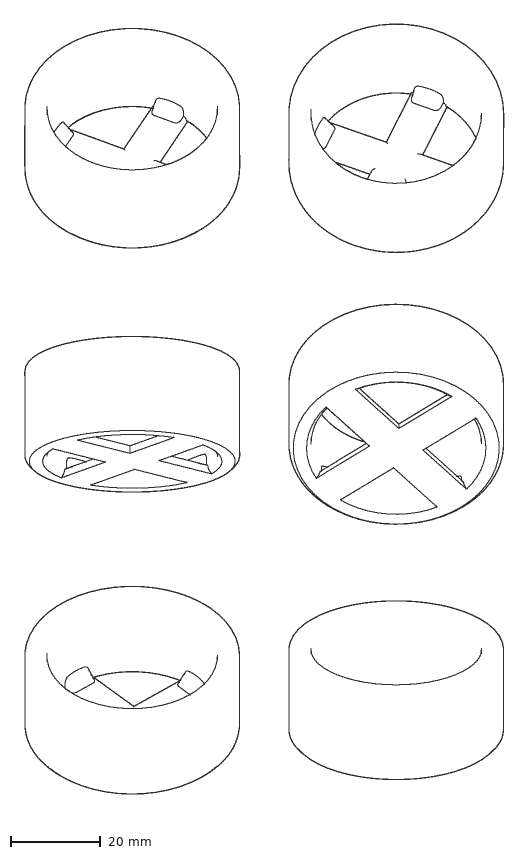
import cadquery as cq

outer_diameter = 48
bore_diameter = 38.0
height = 22.0
edge_radius = 1.0
bottom_chamfer = 1.0

arm_width = 8.5
arm_thickness = 2.0
arm_edge_radius = 0.7

gusset_width = arm_width - 2 * arm_edge_radius
gusset_leg = 3.0
gusset_edge_radius = 1.0

outer_radius = outer_diameter / 2
bore_radius = bore_diameter / 2
wall_middle_radius = (outer_radius + bore_radius) / 2


def make_ring():
    """Tube with rounded top rims and softened chamfers on both bottom rims."""
    ring = (
        cq.Workplane("XY").circle(outer_radius).circle(bore_radius).extrude(height)
        .faces("<Z").edges().chamfer(bottom_chamfer)
    )
    reach = outer_diameter
    chamfer_tops = cq.selectors.BoxSelector(
        (-reach, -reach, bottom_chamfer / 2),
        (reach, reach, bottom_chamfer * 1.5),
    )
    ring = ring.edges("%CIRCLE").edges(chamfer_tops).fillet(edge_radius)
    return ring.faces(">Z").edges().fillet(edge_radius)


def make_cross():
    """Two crossing arms with rounded upper edges, ending inside the ring wall."""
    arm_length = 2 * wall_middle_radius
    cross = (
        cq.Workplane("XY").rect(arm_length, arm_width).extrude(arm_thickness)
        .union(cq.Workplane("XY").rect(arm_width, arm_length).extrude(arm_thickness))
    )
    side_edges = cross.faces(">Z").edges().filter(lambda edge: edge.Length() > arm_width * 1.1)
    return side_edges.fillet(arm_edge_radius)


def make_gusset():
    """45 degree wedge on the +X arm with rounded sloping edges, running into the wall."""
    toe = bore_radius - gusset_leg
    run = wall_middle_radius - toe
    profile = [
        (toe, 0),
        (toe, arm_thickness),
        (wall_middle_radius, arm_thickness + run),
        (wall_middle_radius, 0),
    ]
    wedge = (
        cq.Workplane("XZ").polyline(profile).close()
        .extrude(gusset_width / 2, both=True)
    )
    slope_edges = wedge.edges(cq.selectors.ParallelDirSelector(cq.Vector(1, 0, 1)))
    return slope_edges.fillet(gusset_edge_radius)


result = make_ring().union(make_cross())
gusset = make_gusset()
for angle in (0, 90, 180, 270):
    result = result.union(gusset.rotate((0, 0, 0), (0, 0, 1), angle))